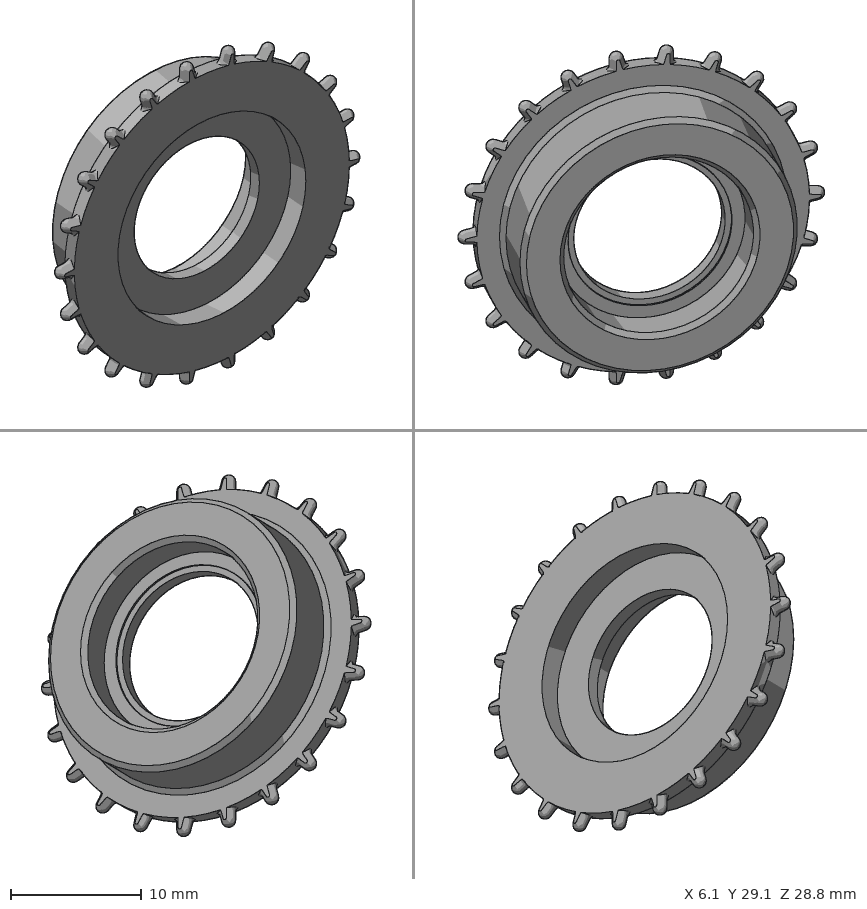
import cadquery as cq
import math

total_length = 6.1
flange_thickness = 1.2
flange_start = total_length - flange_thickness

hub_radius = 22.0 / 2
hub_chamfer = 0.4
shoulder_size = 0.4
flange_radius = 13.2

seat_radius = 15.05 / 2
seat_depth = 2.9
seat_chamfer = 0.4
relief_radius = 13.0 / 2
relief_depth = 0.17
bore_radius = 12.0 / 2
bore_length = 1.1
rear_recess_radius = 9.0

tooth_count = 22
tip_radius = 14.54
tooth_nose_radius = 0.55
tooth_flank_angle = math.radians(8.2)
tooth_chamfer = 0.4
tooth_crest_fillet = 0.4
tooth_root_fillet = 0.35
tooth_base_radius = 12.2


def make_body():
    """Revolve the hub, flange and stepped bore about the X axis."""
    relief_end = seat_depth + relief_depth
    bore_end = relief_end + bore_length
    section = [
        (0, seat_radius + seat_chamfer),
        (0, hub_radius - hub_chamfer),
        (hub_chamfer, hub_radius),
        (flange_start - shoulder_size, hub_radius),
        (flange_start, hub_radius + shoulder_size),
        (flange_start, flange_radius),
        (total_length, flange_radius),
        (total_length, rear_recess_radius),
        (bore_end, rear_recess_radius),
        (bore_end, bore_radius),
        (relief_end, bore_radius),
        (relief_end, relief_radius),
        (seat_depth, relief_radius),
        (seat_depth, seat_radius),
        (seat_chamfer, seat_radius),
    ]
    return cq.Workplane("XY").polyline(section).close().revolve(360, (0, 0, 0), (1, 0, 0))


def polar_point(radius, angle):
    """Return the (y, z) point at a radius, with the angle taken from +Y."""
    return (radius * math.cos(angle), radius * math.sin(angle))


def make_tooth():
    """Build one tapered, round-nosed tooth pointing along +Y, flared at its root."""
    nose_center = tip_radius - tooth_nose_radius
    normal_angle = math.pi / 2 - tooth_flank_angle
    normal_y, normal_z = polar_point(1, normal_angle)
    flank_y = nose_center + tooth_nose_radius * normal_y
    flank_z = tooth_nose_radius * normal_z

    flank_offset = nose_center * normal_y + tooth_nose_radius
    root_orbit = flange_radius + tooth_root_fillet
    root_angle = normal_angle - math.acos((flank_offset + tooth_root_fillet) / root_orbit)
    root_y, root_z = polar_point(root_orbit, root_angle)
    start_y = root_y - tooth_root_fillet * normal_y
    start_z = root_z - tooth_root_fillet * normal_z
    rim_y, rim_z = polar_point(flange_radius, root_angle)
    mid_dy, mid_dz = polar_point(tooth_root_fillet, (normal_angle + root_angle) / 2)
    mid_y = root_y - mid_dy
    mid_z = root_z - mid_dz

    blank = (
        cq.Workplane("YZ", origin=(flange_start, 0, 0))
        .moveTo(tooth_base_radius, -rim_z)
        .lineTo(rim_y, -rim_z)
        .threePointArc((mid_y, -mid_z), (start_y, -start_z))
        .lineTo(flank_y, -flank_z)
        .threePointArc((tip_radius, 0), (flank_y, flank_z))
        .lineTo(start_y, start_z)
        .threePointArc((mid_y, mid_z), (rim_y, rim_z))
        .lineTo(tooth_base_radius, rim_z)
        .close()
        .extrude(flange_thickness)
    )

    outline_zone = cq.selectors.BoxSelector(
        (flange_start - tooth_chamfer, rim_y, -tip_radius),
        (total_length + tooth_chamfer, tip_radius, tip_radius),
    )
    beveled = blank.faces("<X or >X").edges(outline_zone).chamfer(tooth_chamfer)

    crest_zone = cq.selectors.BoxSelector(
        (flange_start + tooth_chamfer / 2, rim_y, -tip_radius),
        (total_length - tooth_chamfer / 2, tip_radius, tip_radius),
    )
    return beveled.edges("#X").edges(crest_zone).fillet(tooth_crest_fillet)


def make_tooth_ring():
    """Return copies of the tooth spaced evenly about the X axis."""
    tooth = make_tooth().val()
    pitch = 360 / tooth_count
    return [
        tooth.rotate(cq.Vector(0, 0, 0), cq.Vector(1, 0, 0), index * pitch)
        for index in range(tooth_count)
    ]


fused = make_body().val().fuse(*make_tooth_ring()).clean()
result = cq.Workplane("XY").newObject(fused.Solids())